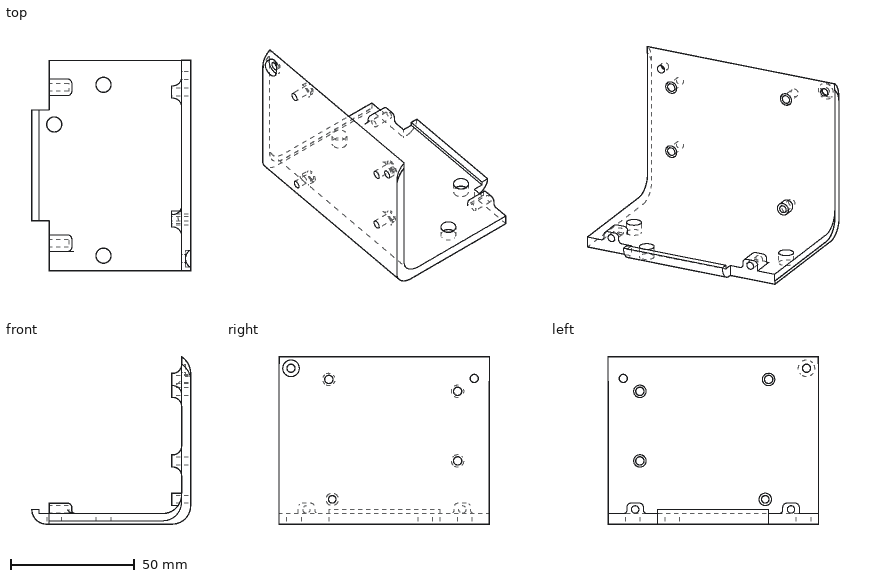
import cadquery as cq
import math

LENGTH_X = 64.25
HEIGHT_Z = 67.76
BODY_Y = 85.0
LAYER_SHIFT = 0.12

FLOOR_THICKNESS = 4.4
WALL_THICKNESS = 3.75
BEND_RADIUS = 7.5
CREST_RADIUS = 8.4
LAYER_RISE = 3.0

WALL_INNER_X = LENGTH_X - WALL_THICKNESS
CREST_DROP = math.sqrt(CREST_RADIUS**2 - (CREST_RADIUS - WALL_THICKNESS)**2)

TAB_REACH = 7.0
TAB_Y_START = 20.2
TAB_Y_END = 65.0
LIP_HEIGHT = 6.0
LIP_WIDTH = 3.0

BOSS_CENTERS_Y = (11.15, 74.1)
BOSS_WIDTH = 6.7
BOSS_LENGTH = 9.2
BOSS_TOP_Z = 8.55
BOSS_EDGE_RADIUS = 1.75
BOSS_FOOT_RADIUS = 1.3
BOSS_HOLE_DIAMETER = 3.0
BOSS_HOLE_Z = 6.0
BOSS_HOLE_DEPTH = 8.0

FLOOR_HOLE_DIAMETER = 6.0
FLOOR_HOLES = ((29.0, 6.1), (29.0, 75.1), (9.1, 59.1))

STANDOFF_HEIGHT = 4.0
STANDOFF_DIAMETER = 5.0
STANDOFF_FLARE_RADIUS = 3.5
STANDOFF_HOLE_DIAMETER = 3.26
FLARED_STANDOFFS = ((72.2, 53.7), (72.2, 25.6), (20.2, 58.5))
PLAIN_STANDOFF = (21.55, 10.07)
PLAIN_STANDOFF_HOLE_DIAMETER = 2.95

PLAIN_CORNER_HOLE = (78.9, 58.9)
SUNK_CORNER_HOLE = (4.9, 63.0)
CORNER_HOLE_DIAMETER = 3.2
COUNTERBORE_DIAMETER = 6.7
COUNTERBORE_DEPTH = 2.2


def extrude_along_y(section, y_start, y_end):
    """Extrude an XZ section from y_start to y_end."""
    return section.extrude(y_start - y_end).translate((0, y_start, 0))


def cylinder_along_x(x_start, y, z, diameter, length):
    return cq.Workplane("YZ", origin=(x_start, y, z)).circle(diameter / 2).extrude(length)


def arc_middle(center_u, center_v, radius, degrees):
    """Point on a circle at the given angle, used as the middle of an arc."""
    angle = math.radians(degrees)
    return (center_u + radius * math.cos(angle), center_v + radius * math.sin(angle))


def layer_section(drop):
    """L section whose inner floor and crest lie `drop` below the full height."""
    floor_z = FLOOR_THICKNESS - drop
    crest_z = HEIGHT_Z - drop
    crest_arc_z = crest_z - CREST_DROP
    half_crest_angle = math.degrees(math.asin(CREST_DROP / CREST_RADIUS)) / 2
    inner_bend_x = WALL_INNER_X - BEND_RADIUS
    inner_bend_z = floor_z + BEND_RADIUS
    outer_bend_x = LENGTH_X - BEND_RADIUS
    return (
        cq.Workplane("XZ")
        .moveTo(TAB_REACH, 0)
        .lineTo(outer_bend_x, 0)
        .threePointArc(arc_middle(outer_bend_x, BEND_RADIUS, BEND_RADIUS, -45), (LENGTH_X, BEND_RADIUS))
        .lineTo(LENGTH_X, crest_arc_z)
        .threePointArc(
            arc_middle(LENGTH_X - CREST_RADIUS, crest_arc_z, CREST_RADIUS, half_crest_angle),
            (WALL_INNER_X, crest_z),
        )
        .lineTo(WALL_INNER_X, inner_bend_z)
        .threePointArc(arc_middle(inner_bend_x, inner_bend_z, BEND_RADIUS, -45), (inner_bend_x, floor_z))
        .lineTo(TAB_REACH, floor_z)
        .close()
    )


def make_shell():
    """Lower layer, upper layer set in at one end, and the crest that overhangs the other end."""
    full_length = BODY_Y + LAYER_SHIFT
    lower = extrude_along_y(layer_section(LAYER_RISE), 0, BODY_Y)
    upper = extrude_along_y(layer_section(0), LAYER_SHIFT, BODY_Y)
    crest = extrude_along_y(layer_section(0), LAYER_SHIFT, full_length)
    crest = crest.cut(extrude_along_y(layer_section(LAYER_RISE), 0, full_length))
    above_floor = cq.Workplane("XY").box(LENGTH_X, full_length, HEIGHT_Z / 2, centered=False)
    crest = crest.intersect(above_floor.translate((0, 0, HEIGHT_Z / 2)))
    return lower.union(upper).union(crest)


def make_tab():
    section = (
        cq.Workplane("XZ")
        .moveTo(TAB_REACH, 0)
        .lineTo(LIP_HEIGHT, 0)
        .threePointArc(arc_middle(LIP_HEIGHT, LIP_HEIGHT, LIP_HEIGHT, 225), (0, LIP_HEIGHT))
        .lineTo(LIP_WIDTH, LIP_HEIGHT)
        .lineTo(LIP_WIDTH, FLOOR_THICKNESS)
        .lineTo(TAB_REACH, FLOOR_THICKNESS)
        .close()
    )
    return extrude_along_y(section, TAB_Y_START, TAB_Y_END)


def make_boss(center_y):
    """Rounded block standing on the floor, its flat face flush with the floor's free edge."""
    height = BOSS_TOP_Z - FLOOR_THICKNESS
    block = (
        cq.Workplane("XY", origin=(TAB_REACH, center_y - BOSS_WIDTH / 2, FLOOR_THICKNESS))
        .box(BOSS_LENGTH, BOSS_WIDTH, height, centered=False)
    )
    return block.edges("(>X and |Z) or (>Z and (not <X))").fillet(BOSS_EDGE_RADIUS)


def boss_foot_box(center_y):
    """Box around the bottom edges of a boss, without the flush face."""
    clearance = 0.1
    half_width = BOSS_WIDTH / 2 + clearance
    end_x = TAB_REACH + BOSS_LENGTH
    return cq.selectors.BoxSelector(
        (TAB_REACH + clearance, center_y - half_width, FLOOR_THICKNESS - clearance),
        (end_x + clearance, center_y + half_width, FLOOR_THICKNESS + clearance),
    )


def add_bosses(body):
    for center_y in BOSS_CENTERS_Y:
        body = body.union(make_boss(center_y))
        body = body.edges(boss_foot_box(center_y)).fillet(BOSS_FOOT_RADIUS)
    foot_trim = (
        cq.Workplane("XY", origin=(TAB_REACH, 0, FLOOR_THICKNESS))
        .box(2 * BOSS_LENGTH, BOSS_CENTERS_Y[0] - BOSS_WIDTH / 2, BOSS_TOP_Z, centered=False)
    )
    body = body.cut(foot_trim)
    for center_y in BOSS_CENTERS_Y:
        hole = cylinder_along_x(TAB_REACH, center_y, BOSS_HOLE_Z, BOSS_HOLE_DIAMETER, BOSS_HOLE_DEPTH)
        body = body.cut(hole)
    return body


def make_flared_standoff(y, z):
    """Standoff on the wall with a concave flare at its root."""
    radius = STANDOFF_DIAMETER / 2
    root_radius = radius + STANDOFF_FLARE_RADIUS
    flare_start = -STANDOFF_FLARE_RADIUS
    half_profile = (
        cq.Workplane("XY")
        .moveTo(-STANDOFF_HEIGHT, 0)
        .lineTo(-STANDOFF_HEIGHT, radius)
        .lineTo(flare_start, radius)
        .threePointArc(arc_middle(flare_start, root_radius, STANDOFF_FLARE_RADIUS, -45), (0, root_radius))
        .lineTo(0, 0)
        .close()
    )
    return half_profile.revolve(360, (0, 0, 0), (1, 0, 0)).translate((WALL_INNER_X, y, z))


def add_standoffs(body):
    tip_x = WALL_INNER_X - STANDOFF_HEIGHT
    bore_length = LENGTH_X - tip_x
    for y, z in FLARED_STANDOFFS:
        body = body.union(make_flared_standoff(y, z))
        body = body.cut(cylinder_along_x(tip_x, y, z, STANDOFF_HOLE_DIAMETER, bore_length))
    y, z = PLAIN_STANDOFF
    body = body.union(cylinder_along_x(tip_x, y, z, STANDOFF_DIAMETER, STANDOFF_HEIGHT + WALL_THICKNESS / 2))
    return body.cut(cylinder_along_x(tip_x, y, z, PLAIN_STANDOFF_HOLE_DIAMETER, bore_length))


def cut_floor_holes(body):
    holes = (
        cq.Workplane("XY")
        .pushPoints(FLOOR_HOLES)
        .circle(FLOOR_HOLE_DIAMETER / 2)
        .extrude(FLOOR_THICKNESS)
    )
    return body.cut(holes)


def cut_corner_holes(body):
    for y, z in (PLAIN_CORNER_HOLE, SUNK_CORNER_HOLE):
        body = body.cut(cylinder_along_x(WALL_INNER_X, y, z, CORNER_HOLE_DIAMETER, WALL_THICKNESS))
    y, z = SUNK_CORNER_HOLE
    counterbore_x = LENGTH_X - COUNTERBORE_DEPTH
    return body.cut(cylinder_along_x(counterbore_x, y, z, COUNTERBORE_DIAMETER, COUNTERBORE_DEPTH))


result = make_shell().union(make_tab())
result = add_bosses(result)
result = add_standoffs(result)
result = cut_floor_holes(result)
result = cut_corner_holes(result)